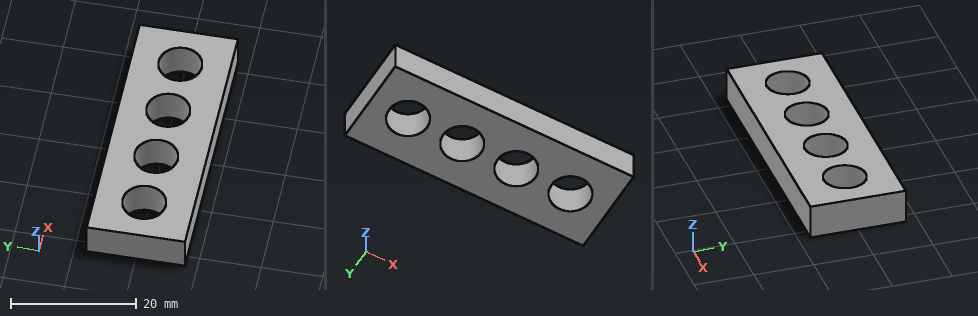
import cadquery as cq

length = 44.0
width = 16.0
thickness = 5.8

hole_count = 4
hole_diameter = 7.0
hole_pitch = 10.0

plate = cq.Workplane("XY").box(length, width, thickness)

result = (
    plate.faces(">Z")
    .workplane()
    .rarray(hole_pitch, 0.45, hole_count, 1)
    .hole(hole_diameter)
)